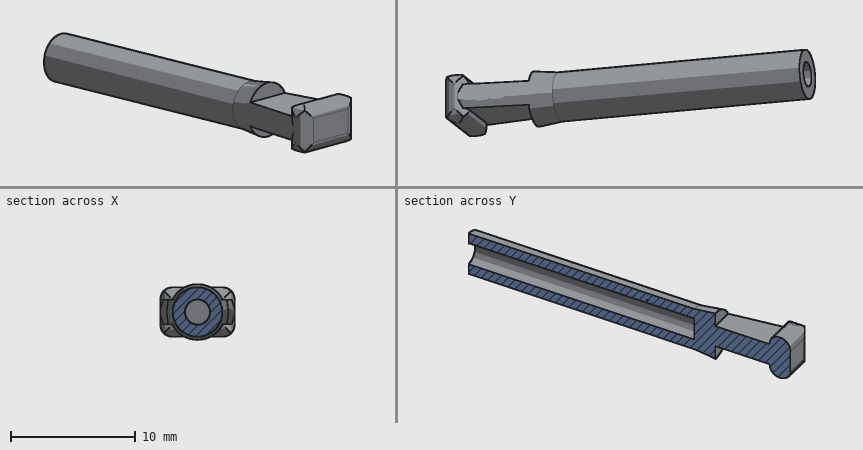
import cadquery as cq

total_length = 30.0
head_width = 6.0
unit = total_length / 30

shaft_radius = 2 * unit
bore_radius = unit
cone_start = 21.0
bore_depth = cone_start
collar_length = 2 * unit
web_thickness = 2 * unit
head_thickness = 2 * unit
head_height = 4 * unit
head_round = head_thickness / 2

head_center = total_length - head_round
collar_end = cone_start + collar_length


def make_body():
    """Round shaft that flares into a cone as wide as the head."""
    return (
        cq.Workplane("XY")
        .moveTo(0, 0)
        .lineTo(0, shaft_radius)
        .lineTo(cone_start, shaft_radius)
        .lineTo(head_center, head_width / 2)
        .lineTo(head_center, 0)
        .close()
        .revolve(360, (0, 0, 0), (1, 0, 0))
    )


def make_flat_cutter(side):
    """Block that flattens the cone to the web on one side (+1 top, -1 bottom)."""
    length = head_center - collar_end
    block_height = head_width
    return cq.Workplane("XY").box(length, 2 * head_width, block_height).translate(
        (collar_end + length / 2, 0, side * (web_thickness + block_height) / 2)
    )


def make_head():
    """Cross bar rounded along all three axes, with mitred round corners."""
    along_x = cq.Workplane("YZ").rect(head_width, head_height).extrude(head_round, both=True)
    along_x = along_x.edges("|X").fillet(head_round)
    along_y = cq.Workplane("XZ").slot2D(head_height, head_thickness, 90).extrude(head_width, both=True)
    along_z = cq.Workplane("XY").slot2D(head_width, head_thickness, 90).extrude(head_height, both=True)
    return along_x.intersect(along_y).intersect(along_z).translate((head_center, 0, 0))


body = make_body()
for side in (1, -1):
    body = body.cut(make_flat_cutter(side))

bore = cq.Workplane("YZ").circle(bore_radius).extrude(bore_depth)
result = body.union(make_head()).cut(bore)